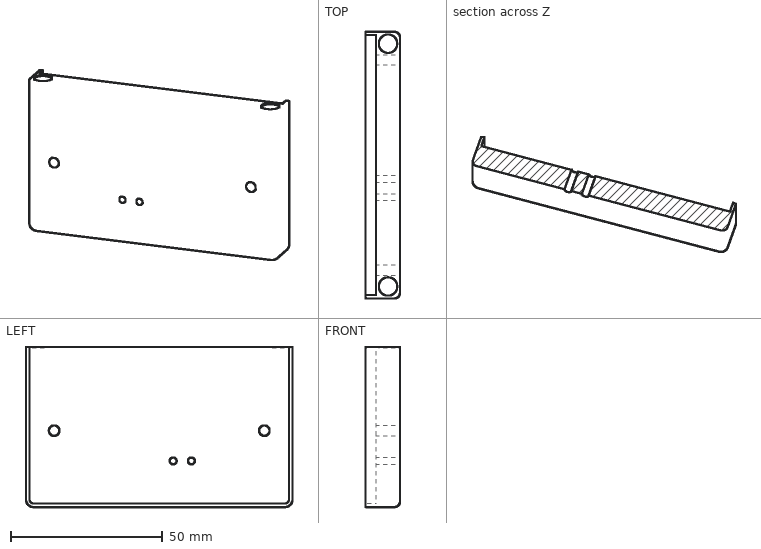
import cadquery as cq

thickness = 11.5
length = 88.14
height = 52.95

wall = 1.2
recess_depth = 3.5
recess_corner_radius = 1.5
outer_corner_radius = recess_corner_radius + wall

back_fillet = 2.0
rim_fillet = 0.4

screw_hole_diameter = 3.4
screw_hole_spacing = 69.4
screw_hole_height = 25.3
wire_hole_diameter = 2.2
wire_hole_spacing = 6.0
wire_hole_center_y = -7.6
wire_hole_height = 15.3

seat_diameter = 6.1
seat_depth = 0.4
seat_end_distance = 4.0
seat_x = (recess_depth + thickness) / 2


def upright_block(x_start, x_size, y_size, z_start, corner_radius):
    """Block reaching the top face, with its two lower corners rounded."""
    block = cq.Workplane("XY").box(x_size, y_size, height - z_start, centered=(False, True, False))
    block = block.translate((x_start, 0, z_start))
    return block.edges("|X and <Z").fillet(corner_radius)


def make_body():
    """Outer block: rounded back edge, softened front and top outlines."""
    body = upright_block(0, thickness, length, 0, outer_corner_radius)
    body = body.faces(">X").edges("not >Z").fillet(back_fillet)
    front_edges = body.faces("<X").edges()
    top_edges = body.faces(">Z").edges()
    return body.newObject(front_edges.add(top_edges).vals()).fillet(rim_fillet)


def make_recess():
    """Tray volume, running out through the top of the body."""
    return upright_block(0, recess_depth, length - 2 * wall, wall, recess_corner_radius)


def make_cross_hole(diameter, y, z):
    """Cylinder along X through the full thickness."""
    return cq.Workplane("YZ").center(y, z).circle(diameter / 2).extrude(thickness)


def make_seat(y):
    """Shallow round seat sunk into the top face."""
    seat = cq.Workplane("XY", origin=(seat_x, y, height))
    return seat.circle(seat_diameter / 2).extrude(-seat_depth)


result = make_body().cut(make_recess())
for side in (-1, 1):
    screw_y = side * screw_hole_spacing / 2
    wire_y = wire_hole_center_y + side * wire_hole_spacing / 2
    seat_y = side * (length / 2 - seat_end_distance)
    result = result.cut(make_cross_hole(screw_hole_diameter, screw_y, screw_hole_height))
    result = result.cut(make_cross_hole(wire_hole_diameter, wire_y, wire_hole_height))
    result = result.cut(make_seat(seat_y))